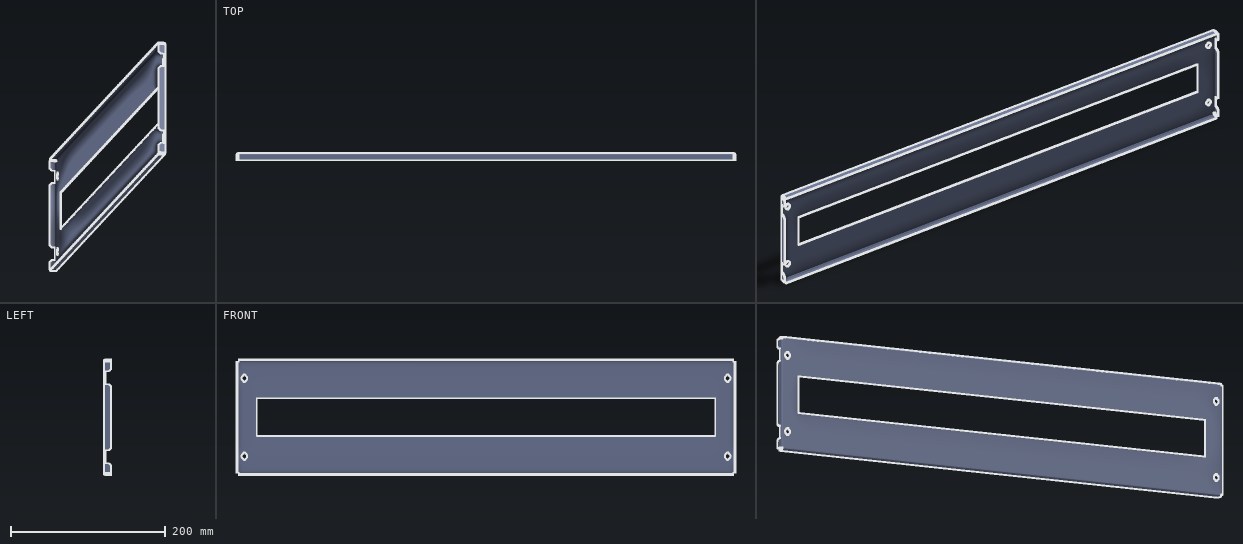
import cadquery as cq

length = 647.0
depth = 10.0
height = 150.0
sheet = 1.5
bend_radius = 1.2
outer_radius = bend_radius + sheet
corner_gap = 2.9

window_length = 594.0
window_height = 48.5

hole_x = 313.0
hole_z = 50.5
hole_diameter = 7.0
slot_width = 2.9
slot_height = 10.0

middle_tab_height = 86.0
corner_tab_reach = 15.5
tab_chamfer = 2.9

back = depth / 2
front = -depth / 2


def folded_channel(width, run):
    """U-shaped sheet, legs along -Y, with the given width in X and run in Z."""
    outer = (
        cq.Workplane("XY")
        .box(width, depth, run)
        .edges("|Z and >Y")
        .fillet(outer_radius)
    )
    inner = (
        cq.Workplane("XY")
        .box(width - 2 * sheet, depth, run)
        .translate((0, -sheet, 0))
        .edges("|Z and >Y")
        .fillet(bend_radius)
    )
    return outer.cut(inner)


def tab_gap():
    """Cutter, along X, for the opening between the middle tab and the upper corner tab."""
    bottom = middle_tab_height / 2
    top = height / 2 - corner_tab_reach
    return (
        cq.Workplane("YZ")
        .moveTo(back - outer_radius, bottom)
        .lineTo(front + tab_chamfer, bottom)
        .lineTo(front, bottom - tab_chamfer)
        .lineTo(front, top + tab_chamfer)
        .lineTo(front + tab_chamfer, top)
        .lineTo(back - outer_radius, top)
        .close()
        .extrude(length, both=True)
    )


def mounting_hole(x, z):
    """Cutter, along Y, for one mounting hole."""
    base = cq.Workplane("XZ").center(x, z)
    round_hole = base.circle(hole_diameter / 2).extrude(depth, both=True)
    slot = base.slot2D(slot_height, slot_width, 90).extrude(depth, both=True)
    return round_hole.union(slot)


long_folds = folded_channel(height, length - 2 * corner_gap).rotate((0, 0, 0), (0, 1, 0), 90)
side_folds = folded_channel(length, height - 2 * corner_gap)
side_folds = side_folds.cut(tab_gap()).cut(tab_gap().mirror("XY"))
panel = long_folds.union(side_folds)

window = cq.Workplane("XY").box(window_length, 2 * depth, window_height)
panel = panel.cut(window)
for x in (-hole_x, hole_x):
    for z in (-hole_z, hole_z):
        panel = panel.cut(mounting_hole(x, z))

result = panel